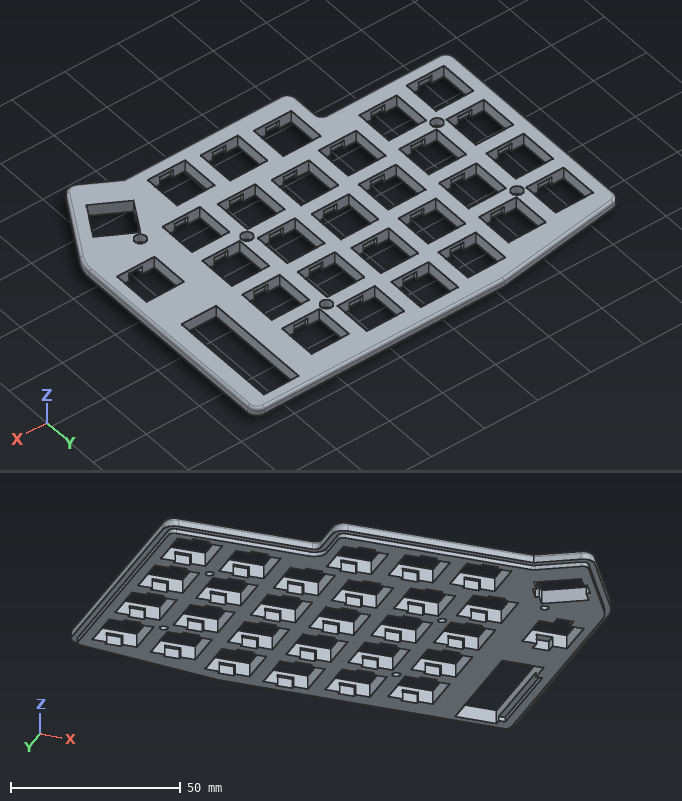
import cadquery as cq

plate_thickness = 4.5
lip_thickness = 3.0
base_inset = 1.9
rim_radius = 1.0

left_x = -71.7
right_x = 71.7
top_y = 56.1
left_bottom_y = -33.5
thumb_left_x = -23.8
thumb_bottom_y = -48.5
corner_radius = 3.6
inner_corner_radius = 2.0
side_bend_radius = 12.9
outline_corners = [
    ((left_x, 48.6), corner_radius),
    ((-22.2, top_y), 0),
    ((right_x, top_y), corner_radius),
    ((right_x, -26.7), side_bend_radius),
    ((54.0, -57.4), corner_radius),
    ((38.6, thumb_bottom_y), 0),
    ((thumb_left_x, thumb_bottom_y), corner_radius),
    ((thumb_left_x, left_bottom_y), inner_corner_radius),
    ((left_x, left_bottom_y), corner_radius),
]

key_size = 14.0
key_rows = 4
first_column_x = -59.4
last_column_x = 35.7
column_top_ys = [35.5, 37.0, 41.7, 43.3, 41.7, 39.5]
key_pitch = (last_column_x - first_column_x) / (len(column_top_ys) - 1)
first_thumb_x = -11.6
thumb_key_ys = [-34.0, -35.3, -36.5]
side_key = (59.8, -8.8)
tilted_key = (52.0, -36.5)
tilted_key_angle = 60

notch_width = 5.0
notch_depth = 1.1
side_notch_depth = 3.2
notch_roof = 1.5

window_center = (58.4, 32.1)
window_width = 13.0
window_length = 39.3
pocket_top_margin = 2.0
pocket_bottom_margin = 6.6
pocket_depth = 2.0

screw_diameter = 2.5
head_diameter = 4.0
head_depth = 3.0
screw_points = [(-49.4, 27.8), (-49.4, -10.3), (25.8, 32.1), (25.8, -5.9), (51.2, -24.5)]


def make_plate():
    """Lip with a rounded top rim on an inset base; the underside lies on Z = 0."""
    lip_bottom = plate_thickness - lip_thickness
    corners = [point for point, _ in outline_corners]
    lip = cq.Workplane("XY").workplane(offset=lip_bottom).polyline(corners).close().extrude(lip_thickness)
    for (x, y), radius in outline_corners:
        if radius > 0:
            middle = (x, y, lip_bottom + lip_thickness / 2)
            lip = lip.edges(cq.selectors.NearestToPointSelector(middle)).fillet(radius)
    base = lip.faces("<Z").wires().toPending().offset2D(-base_inset).extrude(-lip_bottom, combine=False)
    return lip.faces(">Z").edges().fillet(rim_radius).union(base)


def key_cutter(x, y, angle, depth):
    """Square through opening with a notch below its local +Y and -Y sides."""
    opening = cq.Workplane("XY").rect(key_size, key_size).extrude(plate_thickness)
    notches = (
        cq.Workplane("XY")
        .rect(notch_width, key_size + 2 * depth)
        .extrude(plate_thickness - notch_roof)
    )
    return opening.union(notches).rotate((0, 0, 0), (0, 0, 1), angle).translate((x, y, 0))


def key_places():
    """Centre, angle and notch depth of every key opening."""
    places = []
    for column, column_top_y in enumerate(column_top_ys):
        column_x = first_column_x + column * key_pitch
        for row in range(key_rows):
            places.append((column_x, column_top_y - row * key_pitch, 0, notch_depth))
    for index, thumb_y in enumerate(thumb_key_ys):
        places.append((first_thumb_x + index * key_pitch, thumb_y, 0, notch_depth))
    places.append((*side_key, 0, side_notch_depth))
    places.append((*tilted_key, tilted_key_angle, notch_depth))
    return places


def window_cutter():
    """Through window with a pocket under the lip on its +X side."""
    center_x, center_y = window_center
    opening = cq.Workplane("XY").center(center_x, center_y).rect(window_width, window_length)
    pocket_length = window_length - pocket_top_margin - pocket_bottom_margin
    pocket_y = center_y + (pocket_bottom_margin - pocket_top_margin) / 2
    pocket = (
        cq.Workplane("XY")
        .center(center_x + pocket_depth / 2, pocket_y)
        .rect(window_width + pocket_depth, pocket_length)
        .extrude(plate_thickness - lip_thickness)
    )
    return opening.extrude(plate_thickness).union(pocket)


result = make_plate()

for place in key_places():
    result = result.cut(key_cutter(*place))

result = result.cut(window_cutter())

result = (
    result.faces(">Z")
    .workplane(origin=(0, 0, plate_thickness))
    .pushPoints(screw_points)
    .cboreHole(screw_diameter, head_diameter, head_depth)
)